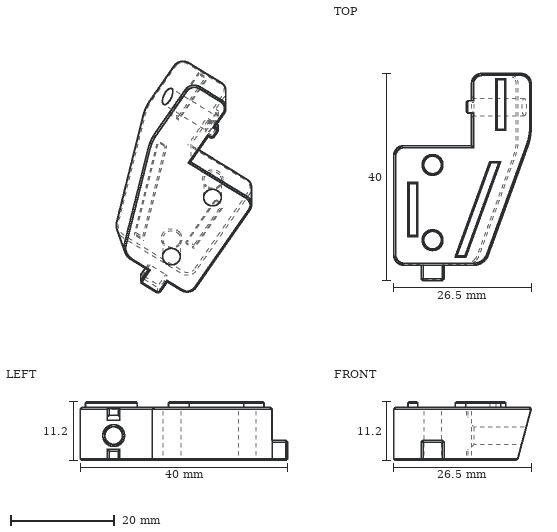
import cadquery as cq
import math

body_height = 10.23
block_depth = 23.08
total_depth = 37.0
arm_left = 15.0
arm_right = 26.615
wide_right = 17.6
oblique_angle = 20
arm_lean = 15
oblique_lean = 10

corner_radius = 2.0
front_right_radius = 3.0
bend_radius = 9.0
top_chamfer = 0.4
bottom_chamfer = 0.3

hole_diameter = 3.4
mount_chamfer = 0.3
cross_chamfer = 0.4
mount_x = 7.5
mount_y = 4.85
mount_spacing = 14.5
cross_y = 30.55
cross_z = 4.75

key_width = 4.45
key_length = 2.98
key_height = 3.87
key_chamfer = 0.4

tab_width = 2.4
tab_reach = 1.0
tab_chamfer = 0.33
lower_tab_height = 2.09
upper_tab_height = 2.53

rib_height = 1.0
rib_width = 1.95
rib_chamfer = 0.25
left_rib_x = 2.72
left_rib_y = 5.5
left_rib_length = 10.5
arm_rib_x = 19.68
arm_rib_y = 26.0
arm_rib_length = 10.0
oblique_rib_x = 11.83
oblique_rib_y = 1.55
oblique_rib_depth = 18.45

overlap = 1.0
oblique_slope = math.tan(math.radians(oblique_angle))
bend_y = (arm_right - wide_right) / oblique_slope


def leaning_cutter(x, y, heading, lean):
    """Large box whose face passes through (x, y) on the top plane and leans inward below it."""
    size = 4 * total_depth
    return (
        cq.Workplane("XY")
        .box(size, size, size, centered=(False, True, True))
        .rotate((0, 0, 0), (0, 1, 0), lean)
        .rotate((0, 0, 0), (0, 0, 1), heading)
        .translate((x, y, body_height))
    )


def fillet_upright(solid, x, y, z, radius):
    """Round the upright edge of the block that passes nearest to a point."""
    upright = solid.edges("not #Z")
    return upright.edges(cq.selectors.NearestToPointSelector((x, y, z))).fillet(radius)


def make_block():
    outline = [
        (0, 0),
        (arm_right, 0),
        (arm_right, total_depth),
        (arm_left, total_depth),
        (arm_left, block_depth),
        (0, block_depth),
    ]
    block = cq.Workplane("XY").polyline(outline).close().extrude(body_height)
    block = block.cut(leaning_cutter(arm_right, bend_y, 0, arm_lean))
    block = block.cut(leaning_cutter(wide_right, 0, -oblique_angle, oblique_lean))

    middle = body_height / 2
    arm_shift = middle * math.tan(math.radians(arm_lean))
    for x, y, radius in [
        (0, 0, corner_radius),
        (0, block_depth, corner_radius),
        (arm_left, total_depth, corner_radius),
        (arm_right - arm_shift, total_depth, corner_radius),
        (arm_right - arm_shift, bend_y, bend_radius),
        (wide_right, 0, front_right_radius),
    ]:
        block = fillet_upright(block, x, y, middle, radius)
    return block.faces(">Z").edges().chamfer(top_chamfer)


def make_key():
    key = cq.Workplane("XY").box(
        key_width, key_length + overlap, key_height, centered=(True, False, False)
    )
    key = key.edges("(|Z and <Y) or (>Z and (not >Y))").chamfer(key_chamfer)
    return key.translate((mount_x, -key_length, 0))


def make_tab(height):
    return cq.Workplane("XY").box(
        tab_reach + overlap, tab_width, height, centered=(False, True, False)
    ).translate((arm_left - tab_reach, cross_y, 0))


def make_lower_tab():
    return make_tab(lower_tab_height).faces("<X").edges("not <Z").chamfer(tab_chamfer)


def make_upper_tab():
    """Tab flush with the top face, its underside sloping at 45 degrees."""
    tab = make_tab(upper_tab_height).faces("<X").edges("not <Z").chamfer(tab_chamfer)
    slope = (
        cq.Workplane("XZ")
        .polyline([(0, 0), (tab_reach, 0), (0, tab_reach)])
        .close()
        .extrude(tab_width, both=True)
        .translate((arm_left - tab_reach, cross_y, 0))
    )
    return tab.cut(slope).translate((0, 0, body_height - upper_tab_height))


def make_rib(x, y, depth, angle):
    """Rib from (x, y) running along Y, turned by angle from Y, with both ends parallel to X."""
    shift = depth * math.tan(math.radians(angle))
    span = rib_width / math.cos(math.radians(angle))
    outline = [
        (x, y),
        (x + span, y),
        (x + span + shift, y + depth),
        (x + shift, y + depth),
    ]
    return (
        cq.Workplane("XY", origin=(0, 0, body_height - overlap))
        .polyline(outline)
        .close()
        .extrude(overlap + rib_height)
        .faces(">Z")
        .edges()
        .chamfer(rib_chamfer)
    )


def make_hole(length, chamfer):
    """Cutter along +Z with a countersunk mouth at the origin."""
    radius = hole_diameter / 2
    mouth = cq.Solid.makeCone(radius + chamfer, radius, chamfer)
    return cq.Workplane("XY").circle(radius).extrude(length).union(cq.Workplane(mouth))


block = make_block().union(make_key()).union(make_lower_tab())
block = block.faces("<Z").edges().chamfer(bottom_chamfer)
block = block.union(make_upper_tab())

ribs = [
    (left_rib_x, left_rib_y, left_rib_length, 0),
    (arm_rib_x, arm_rib_y, arm_rib_length, 0),
    (oblique_rib_x, oblique_rib_y, oblique_rib_depth, oblique_angle),
]
for rib in ribs:
    block = block.union(make_rib(*rib))

mount_hole = make_hole(body_height, mount_chamfer).rotate((0, 0, 0), (1, 0, 0), 180)
for y in (mount_y, mount_y + mount_spacing):
    block = block.cut(mount_hole.translate((mount_x, y, body_height)))

cross_hole = make_hole(arm_right - arm_left, cross_chamfer).rotate((0, 0, 0), (0, 1, 0), 90)
result = block.cut(cross_hole.translate((arm_left, cross_y, cross_z)))